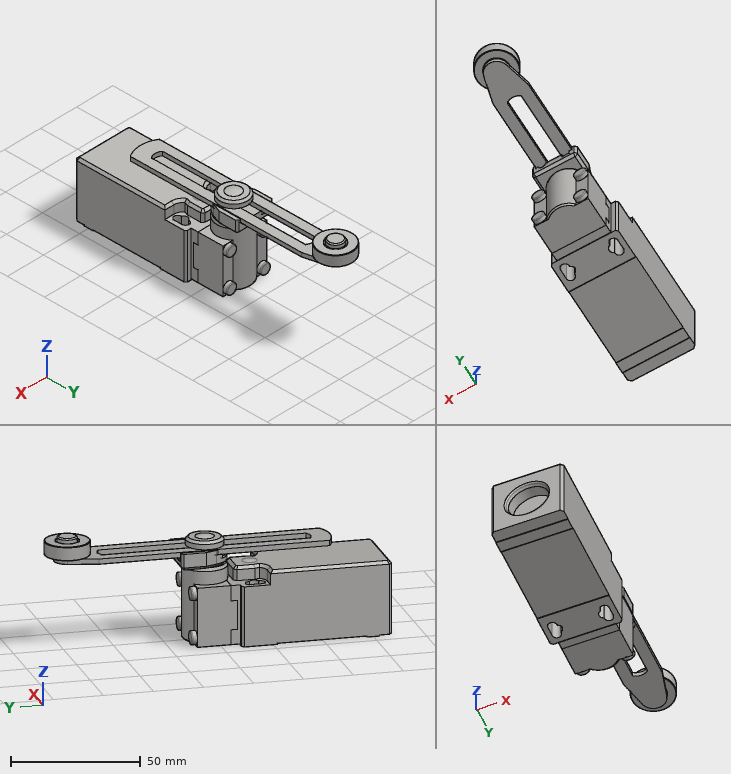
import cadquery as cq
import math


overall_length = 135

roller_diameter = 18.0
roller_y = 55.0
roller_height = 5.7
roller_chamfer = 0.3
roller_recess_diameter = 9.5
roller_recess_depth = 0.4

housing_front_y = roller_y + roller_diameter / 2 - overall_length
housing_width = 30.2
housing_rear_y = -11.1
housing_bottom_z = 0.4
housing_top_z = 30.1
deck_z = 24.5
edge_chamfer = 1.2
rear_corner_chamfer = 1.0
foot_spans = [(-25.1, housing_rear_y), (-66.0, -61.0)]

block_half_width = 6.8
block_rear_y = -10.0
block_corner_chamfer = 1.2
deck_front_y = -22.4
relief_start_y = -18.4
relief_inner_x = 6.1
relief_inner_y = -20.4
relief_end_x = 10.1
relief_mid_x = 7.8
relief_mid_y = -21.9

mount_slot_x = 11.0
mount_slot_y = -17.4
mount_slot_length = 8.0
mount_slot_width = 3.8
mount_hole_diameter = 3.8
mount_hole_x = 9.6

cable_hole_diameter = 17.0
cable_rim_diameter = 19.0
cable_rim_depth = 0.7
cable_throat_diameter = 18.0
cable_throat_depth = 1.9
cable_hole_depth = 6.6
cable_hole_z = 14.5

lamp_diameter = 6.0
lamp_height = 0.4
lamp_y = -18.0

head_width = 24.3
head_rear_y = 6.1
seam_y = -7.4
tongue_length = 2.4
tongue_bottom_z = 6.5
tongue_top_z = 18.2
hub_diameter = 18.0
hub_chamfer_z = 29.8
hub_chamfer = 0.5
hub_foot_chamfer = 0.7
screw_diameter = 5.5
screw_height = 2.2
screw_fillet = 0.4
screw_x = head_width / 2 - screw_diameter / 2
screw_heights = (3.6, 21.6)

clamp_bottom_z = 31.2
clamp_top_z = 38.0
clamp_width = 20.1
clamp_rear_y = 11.7
clamp_round_radius = 8.8
clamp_side_end_y = 1.9
clamp_tangent_x = 8.4
clamp_corner_chamfer = 1.0
clamp_chamfer = 1.2
channel_clearance = 0.1
groove_x = 5.3
groove_width = 3.2
groove_depth = 1.9
bolt_diameter = 6.0
nut_diameter = 15.0
nut_height = 3.2
nut_chamfer = 1.1
dome_diameter = 7.5
dome_height = 0.8

arm_bottom_z = 36.0
arm_thickness = 2.2
arm_top_z = arm_bottom_z + arm_thickness
arm_width = 16.0
arm_front_y = -50.2
arm_front_side_y = -47.9
arm_taper_y = 44.4
arm_end_radius = 5.3
arm_slot_width = 6.2
arm_slot_front_y = -42.4
arm_slot_rear_y = 42.8
arm_slot_end_rise = 1.1
rivet_diameter = 8.0
rivet_top_z = 46.0
rivet_chamfer = 0.5
spacer_diameter = 11.0
spacer_height = 0.4

roller_bottom_z = arm_top_z + spacer_height


def block(x_size, y_start, y_end, z_start, z_end):
    """Box centred on X that spans the given Y and Z ranges."""
    size = (x_size, y_end - y_start, z_end - z_start)
    return cq.Workplane("XY").box(*size, centered=(True, False, False)).translate((0, y_start, z_start))


def disc(diameter, z_start, z_end, x=0, y=0):
    """Vertical cylinder at the given place."""
    return cq.Workplane("XY", origin=(x, y, z_start)).circle(diameter / 2).extrude(z_end - z_start)


def dome(diameter, height, y, z):
    """Shallow spherical cap that stands on the plane at z."""
    radius = diameter / 2
    sphere_radius = (radius**2 + height**2) / (2 * height)
    sphere = cq.Workplane("XZ").sphere(sphere_radius).translate((0, y, z + height - sphere_radius))
    return sphere.intersect(disc(diameter, z, z + height, y=y))


def housing_lower():
    """Full-width box below the deck, with its rear neck and feet."""
    base = block(housing_width, housing_front_y, housing_rear_y, housing_bottom_z, deck_z)
    base = base.edges("|Z and <Y").chamfer(edge_chamfer)
    base = base.edges("|Z and >Y").chamfer(rear_corner_chamfer)
    for start_y, end_y in foot_spans:
        foot = block(housing_width, start_y, end_y, 0, housing_bottom_z)
        if end_y == housing_rear_y:
            foot = foot.edges("|Z and >Y").chamfer(rear_corner_chamfer)
        base = base.union(foot)
    neck = block(head_width, housing_rear_y, seam_y, housing_bottom_z, deck_z)
    return base.union(neck)


def housing_upper():
    """Part above the deck, which narrows to a block between the mounting slots."""
    side = housing_width / 2
    front_side = side - edge_chamfer
    front_shoulder_y = housing_front_y + edge_chamfer
    outline = (
        cq.Workplane("XY", origin=(0, 0, deck_z))
        .moveTo(-front_side, housing_front_y)
        .lineTo(front_side, housing_front_y)
        .lineTo(side, front_shoulder_y)
        .lineTo(side, deck_front_y)
        .lineTo(relief_end_x, deck_front_y)
        .threePointArc((relief_mid_x, relief_mid_y), (relief_inner_x, relief_inner_y))
        .lineTo(block_half_width, relief_start_y)
        .lineTo(block_half_width, block_rear_y - block_corner_chamfer)
        .lineTo(block_half_width - block_corner_chamfer, block_rear_y)
        .lineTo(block_corner_chamfer - block_half_width, block_rear_y)
        .lineTo(-block_half_width, block_rear_y - block_corner_chamfer)
        .lineTo(-block_half_width, relief_start_y)
        .lineTo(-relief_inner_x, relief_inner_y)
        .threePointArc((-relief_mid_x, relief_mid_y), (-relief_end_x, deck_front_y))
        .lineTo(-side, deck_front_y)
        .lineTo(-side, front_shoulder_y)
        .close()
    )
    return outline.extrude(housing_top_z - deck_z).faces(">Z").chamfer(edge_chamfer)


def mounting_holes():
    """Keyhole openings through both rear corners: a slot merged with a round hole."""
    cutters = cq.Workplane("XY")
    for side in (-1, 1):
        slot = (
            cq.Workplane("XY", origin=(side * mount_slot_x, mount_slot_y, 0))
            .slot2D(mount_slot_length, mount_slot_width, 90)
            .extrude(deck_z)
        )
        hole = disc(mount_hole_diameter, 0, deck_z, side * mount_hole_x, mount_slot_y)
        cutters = cutters.add(slot.union(hole))
    return cutters.combine()


def cable_hole():
    """Blind cable entry in the front face with a tapered rim and throat."""
    rim_radius = cable_rim_diameter / 2
    radius = cable_hole_diameter / 2
    profile = (
        cq.Workplane("XY")
        .lineTo(rim_radius, 0)
        .lineTo(cable_throat_diameter / 2, cable_rim_depth)
        .lineTo(radius, cable_throat_depth)
        .lineTo(radius, cable_hole_depth)
        .lineTo(0, cable_hole_depth)
        .close()
    )
    return profile.revolve(360, (0, 0), (0, 1)).translate((0, housing_front_y, cable_hole_z))


def tongue():
    """Tongue of the head that locates in the neck of the housing."""
    return block(head_width, seam_y - tongue_length, seam_y, tongue_bottom_z, tongue_top_z)


def make_housing():
    body = housing_lower().union(housing_upper())
    body = body.cut(mounting_holes()).cut(cable_hole()).cut(tongue())
    return body.union(dome(lamp_diameter, lamp_height, lamp_y, housing_top_z))


def make_head():
    half_width = head_width / 2
    hub_radius = hub_diameter / 2
    bulge_x = math.sqrt(hub_radius**2 - head_rear_y**2)
    body = (
        cq.Workplane("XY", origin=(0, 0, housing_bottom_z))
        .moveTo(-half_width, seam_y)
        .lineTo(half_width, seam_y)
        .lineTo(half_width, head_rear_y)
        .lineTo(bulge_x, head_rear_y)
        .threePointArc((0, hub_radius), (-bulge_x, head_rear_y))
        .lineTo(-half_width, head_rear_y)
        .close()
        .extrude(deck_z - housing_bottom_z)
        .faces("<Z")
        .edges("%CIRCLE")
        .chamfer(hub_foot_chamfer)
    )
    hub = disc(hub_diameter, deck_z, clamp_bottom_z)
    hub = hub.faces(">Z").chamfer(clamp_bottom_z - hub_chamfer_z, hub_chamfer)
    body = body.union(hub).union(tongue())
    for side in (-1, 1):
        for z in screw_heights:
            screw = (
                cq.Workplane("XZ", origin=(side * screw_x, head_rear_y, z))
                .circle(screw_diameter / 2)
                .extrude(-screw_height)
                .faces(">Y")
                .fillet(screw_fillet)
            )
            body = body.union(screw)
    return body


def clamp_block():
    """Plate that is square at the rear and tapers into a round front."""
    side = clamp_width / 2
    rear_side = side - clamp_corner_chamfer
    tangent_y = -math.sqrt(clamp_round_radius**2 - clamp_tangent_x**2)
    return (
        cq.Workplane("XY", origin=(0, 0, clamp_bottom_z))
        .moveTo(rear_side, clamp_rear_y)
        .lineTo(side, clamp_rear_y - clamp_corner_chamfer)
        .lineTo(side, clamp_side_end_y)
        .lineTo(clamp_tangent_x, tangent_y)
        .threePointArc((0, -clamp_round_radius), (-clamp_tangent_x, tangent_y))
        .lineTo(-side, clamp_side_end_y)
        .lineTo(-side, clamp_rear_y - clamp_corner_chamfer)
        .lineTo(-rear_side, clamp_rear_y)
        .close()
        .extrude(clamp_top_z - clamp_bottom_z)
        .faces("<Z")
        .chamfer(clamp_chamfer)
    )


def clamp_grooves():
    """Two grooves under the arm: a square one at -X and a round-bottomed one at +X."""
    groove_bottom_z = arm_bottom_z - groove_depth
    span = (-clamp_round_radius, clamp_rear_y, groove_bottom_z, arm_bottom_z)
    square = block(groove_width, *span).translate((-groove_x, 0, 0))
    radius = groove_width / 2
    rounded = (
        cq.Workplane("XZ", origin=(groove_x, -clamp_round_radius, arm_bottom_z))
        .moveTo(-radius, 0)
        .lineTo(-radius, radius - groove_depth)
        .threePointArc((0, -groove_depth), (radius, radius - groove_depth))
        .lineTo(radius, 0)
        .close()
        .extrude(-clamp_round_radius - clamp_rear_y)
    )
    return square.union(rounded)


def make_clamp():
    """Clamp with its bolt and nut, which hold the arm."""
    channel_width = arm_width + 2 * channel_clearance
    channel = block(channel_width, -clamp_round_radius, clamp_rear_y, arm_bottom_z, clamp_top_z)
    nut_top_z = arm_top_z + nut_height
    bolt = disc(bolt_diameter, arm_bottom_z, arm_top_z)
    nut = disc(nut_diameter, arm_top_z, nut_top_z).faces(">Z").chamfer(nut_chamfer)
    body = clamp_block().cut(channel).cut(clamp_grooves())
    return body.union(bolt).union(nut).union(dome(dome_diameter, dome_height, 0, nut_top_z))


def arm_plate():
    """Flat bar with a bowed front end and a rear end that tapers to a round."""
    side = arm_width / 2
    corner_distance = math.hypot(side, roller_y - arm_taper_y)
    corner_direction = math.atan2(arm_taper_y - roller_y, side)
    tangent_direction = corner_direction + math.acos(arm_end_radius / corner_distance)
    tangent_x = arm_end_radius * math.cos(tangent_direction)
    tangent_y = roller_y + arm_end_radius * math.sin(tangent_direction)
    return (
        cq.Workplane("XY", origin=(0, 0, arm_bottom_z))
        .moveTo(-side, arm_front_side_y)
        .threePointArc((0, arm_front_y), (side, arm_front_side_y))
        .lineTo(side, arm_taper_y)
        .lineTo(tangent_x, tangent_y)
        .threePointArc((0, roller_y + arm_end_radius), (-tangent_x, tangent_y))
        .lineTo(-side, arm_taper_y)
        .close()
        .extrude(arm_thickness)
    )


def arm_slot():
    """Long adjustment slot with shallow bowed ends."""
    side = arm_slot_width / 2
    front_side_y = arm_slot_front_y + arm_slot_end_rise
    rear_side_y = arm_slot_rear_y - arm_slot_end_rise
    return (
        cq.Workplane("XY", origin=(0, 0, arm_bottom_z))
        .moveTo(-side, front_side_y)
        .threePointArc((0, arm_slot_front_y), (side, front_side_y))
        .lineTo(side, rear_side_y)
        .threePointArc((0, arm_slot_rear_y), (-side, rear_side_y))
        .close()
        .extrude(arm_thickness)
    )


def make_arm():
    """Arm with the spacer and the rivet that carry the roller."""
    spacer = disc(spacer_diameter, arm_top_z, roller_bottom_z, y=roller_y)
    rivet = disc(rivet_diameter, arm_top_z, rivet_top_z, y=roller_y).faces(">Z").chamfer(rivet_chamfer)
    return arm_plate().cut(arm_slot()).union(spacer).union(rivet)


def make_roller():
    roller_top_z = roller_bottom_z + roller_height
    recess_z = roller_top_z - roller_recess_depth
    body = disc(roller_diameter, roller_bottom_z, roller_top_z, y=roller_y)
    body = body.edges().chamfer(roller_chamfer)
    body = body.cut(disc(rivet_diameter, roller_bottom_z, roller_top_z, y=roller_y))
    return body.cut(disc(roller_recess_diameter, recess_z, roller_top_z, y=roller_y))


housing = make_housing()
head = make_head()
clamp = make_clamp()
arm = make_arm()
roller = make_roller()

result = cq.Compound.makeCompound([housing.val(), head.val(), clamp.val(), arm.val(), roller.val()])